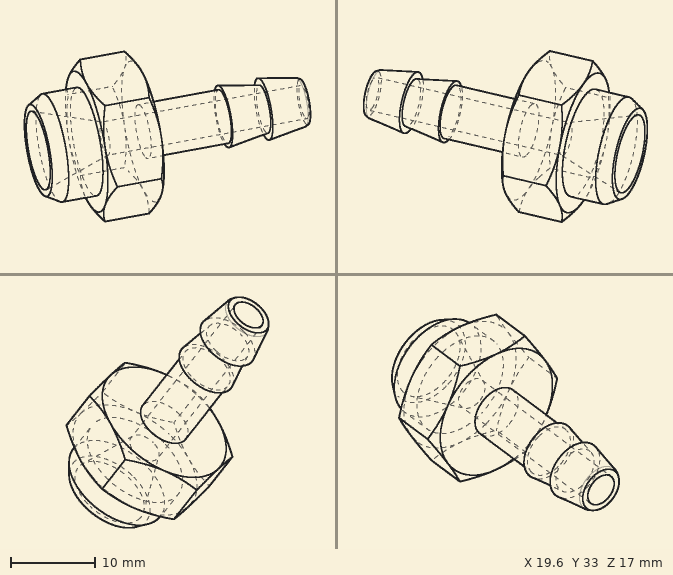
import cadquery as cq
import math

thread_length = 6.0
hex_length = 7.0
total_length = 33.0
barb_pitch = 5.0
barb_count = 2

thread_diameter = 13.1
thread_end_diameter = 11.1
hex_sides = 6
hex_across_flats = 17.0
stem_diameter = 6.5
barb_diameter = 7.5
barb_root_diameter = 5.8
tip_bevel = 0.4
tip_bevel_inset = 0.2
bore_diameter = 4.0
seat_diameter = 9.5
seat_depth = 8.25

thread_bevel_angle = 30.0
hex_bevel_angle = 30.0

hex_end = thread_length + hex_length
hex_across_corners = hex_across_flats / math.cos(math.pi / hex_sides)
thread_bevel_depth = (thread_diameter - thread_end_diameter) / 2
thread_bevel_length = thread_bevel_depth / math.tan(math.radians(thread_bevel_angle))
barbs_start = total_length - barb_count * barb_pitch


def turned(profile):
    """Revolve a closed (radius, y) profile about the Y axis."""
    return cq.Workplane("XY").polyline(profile).close().revolve(360, (0, 0, 0), (0, 1, 0))


def hexagon():
    """Hexagon with flats facing +Z and -Z and its corners bevelled at both ends."""
    prism = (
        cq.Workplane("XZ", origin=(0, thread_length, 0))
        .polygon(hex_sides, hex_across_corners)
        .extrude(-hex_length)
    )
    face_radius = hex_across_flats / 2
    corner_radius = hex_across_corners / 2
    bevel_drop = (corner_radius - face_radius) * math.tan(math.radians(hex_bevel_angle))
    envelope = turned([
        (0, thread_length),
        (face_radius, thread_length),
        (corner_radius, thread_length + bevel_drop),
        (corner_radius, hex_end - bevel_drop),
        (face_radius, hex_end),
        (0, hex_end),
    ])
    return prism.intersect(envelope)


def threaded_end():
    """Plain cylinder at the thread's outer diameter with a bevelled lead-in."""
    return turned([
        (0, 0),
        (thread_end_diameter / 2, 0),
        (thread_diameter / 2, thread_bevel_length),
        (thread_diameter / 2, thread_length),
        (0, thread_length),
    ])


def hose_tail():
    """Stem with tapered barbs narrowing toward a bevelled tip."""
    profile = [(0, hex_end), (stem_diameter / 2, hex_end), (stem_diameter / 2, barbs_start)]
    for index in range(barb_count):
        barb_base = barbs_start + index * barb_pitch
        profile.append((barb_diameter / 2, barb_base))
        profile.append((barb_root_diameter / 2, barb_base + barb_pitch))
    taper = (barb_diameter - barb_root_diameter) / 2 / barb_pitch
    tip_radius = barb_root_diameter / 2 + taper * tip_bevel
    profile[-1] = (tip_radius, total_length - tip_bevel)
    profile.append((tip_radius - tip_bevel_inset, total_length))
    profile.append((0, total_length))
    return turned(profile)


def bore():
    """Through bore opening into a conical seat at the threaded end."""
    return turned([
        (0, 0),
        (seat_diameter / 2, 0),
        (bore_diameter / 2, seat_depth),
        (bore_diameter / 2, total_length),
        (0, total_length),
    ])


result = threaded_end().union(hexagon()).union(hose_tail()).cut(bore())